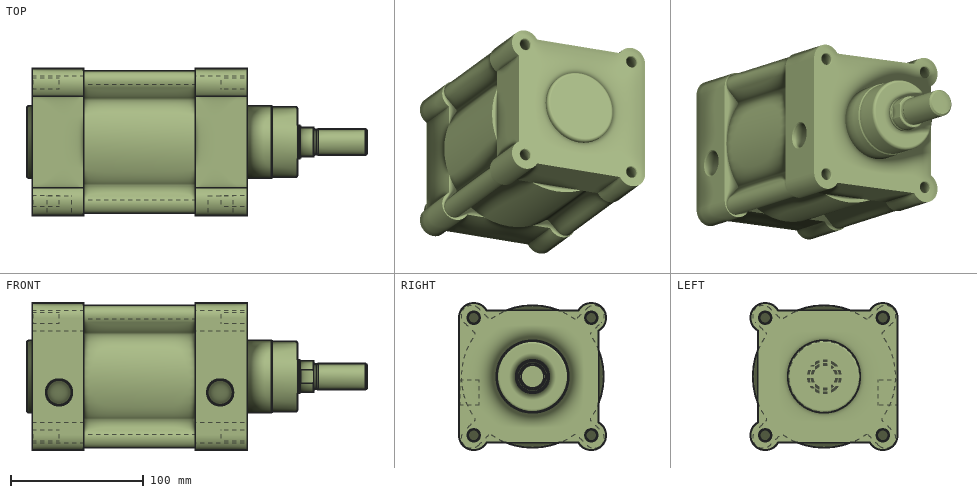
import math

import cadquery as cq


boss_length = 4.0
rear_cap_length = 39.0
barrel_length = 84.5
front_cap_length = 39.5
nose_length = 38.0
overall_length = 257.7

rear_cap_start = boss_length
barrel_start = rear_cap_start + rear_cap_length
front_cap_start = barrel_start + barrel_length
nose_start = front_cap_start + front_cap_length
rod_start = nose_start + nose_length

cap_size = 111.5
corner_spacing = 89.0
body_width = 100.0
boss_radius = 27.5
boss_fillet = 2.0
corner_offset = corner_spacing / 2
corner_radius = (cap_size - corner_spacing) / 2

screw_hole_diameter = 8.5
screw_hole_mouth = 9.6
screw_hole_depth = 20.0

port_diameter = 18.8
port_mouth = 20.2
port_depth = 15.0
port_drop = 12.0
rear_port_inset = 20.4
front_port_inset = 18.9

nose_tip_radius = 26.8
nose_taper_start = 18.0
nose_taper_length = 1.0
nose_fillet = 2.0

barrel_radius = 54.0
lobe_radius = 7.6
lobe_centre = 46.5
valley_fillet = 1.6

rod_radius = 12.75
rod_land_length = 1.9
rod_land_chamfer = 0.6
wrench_radius = 12.1
wrench_flats = 22.0
wrench_end = 217.4
wrench_chamfer = 0.5
groove_bottom = 219.0
groove_end = 220.5
groove_radius = 9.2
thread_radius = 10.0
thread_chamfer = 1.3


def cylinder_x(radius, start, length, y=0.0, z=0.0):
    """Cylinder along +X that begins at the given station."""
    return cq.Workplane("YZ", origin=(start, y, z)).circle(radius).extrude(length)


def chamfered_hole(diameter, mouth, depth, origin, direction):
    """Cutting tool for a flat-bottomed hole with a 45 degree chamfered mouth."""
    axis = cq.Vector(*direction)
    point = cq.Vector(*origin)
    chamfer = (mouth - diameter) / 2
    bore = cq.Solid.makeCylinder(diameter / 2, depth, point, axis)
    countersink = cq.Solid.makeCone(mouth / 2, diameter / 2, chamfer, point, axis)
    return cq.Workplane(bore.fuse(countersink))


def cap_block(start, length):
    """Cap body: square with round corner lobes, filled out to a flat face on the -Y side."""
    block = cq.Workplane("YZ", origin=(start, 0, 0)).rect(body_width, body_width).extrude(length)
    side_depth = cap_size / 2 - corner_offset
    side = (
        cq.Workplane("YZ", origin=(start, -corner_offset - side_depth / 2, 0))
        .rect(side_depth, corner_spacing)
        .extrude(length)
    )
    block = block.union(side)
    for y in (-corner_offset, corner_offset):
        for z in (-corner_offset, corner_offset):
            block = block.union(cylinder_x(corner_radius, start, length, y, z))
    return block


def cut_screw_holes(cap, face_x, inward):
    """Cut the four corner holes into the outer face of a cap."""
    for y in (-corner_offset, corner_offset):
        for z in (-corner_offset, corner_offset):
            mouth_centre = (face_x, y, z)
            hole = chamfered_hole(
                screw_hole_diameter, screw_hole_mouth, screw_hole_depth, mouth_centre, (inward, 0, 0)
            )
            cap = cap.cut(hole)
    return cap


def cut_port(cap, x):
    """Cut the air port into the flat -Y face of a cap."""
    mouth_centre = (x, -cap_size / 2, -port_drop)
    return cap.cut(chamfered_hole(port_diameter, port_mouth, port_depth, mouth_centre, (0, 1, 0)))


def make_rear_cap():
    cap = cap_block(rear_cap_start, rear_cap_length)
    boss = cylinder_x(boss_radius, 0, boss_length).faces("<X").edges().fillet(boss_fillet)
    cap = cap.union(boss)
    cap = cut_screw_holes(cap, rear_cap_start, 1)
    return cut_port(cap, rear_cap_start + rear_port_inset)


def make_front_cap():
    cap = cap_block(front_cap_start, front_cap_length)
    taper_start = nose_start + nose_taper_start
    nose = (
        cq.Workplane("XY")
        .moveTo(nose_start, 0)
        .lineTo(nose_start, boss_radius)
        .lineTo(taper_start, boss_radius)
        .lineTo(taper_start + nose_taper_length, nose_tip_radius)
        .lineTo(rod_start, nose_tip_radius)
        .lineTo(rod_start, 0)
        .close()
        .revolve(360, (0, 0, 0), (1, 0, 0))
        .faces(">X")
        .edges()
        .fillet(nose_fillet)
    )
    cap = cap.union(nose)
    cap = cut_screw_holes(cap, nose_start, -1)
    return cut_port(cap, front_cap_start + front_port_inset)


def valley_selector():
    """Selector for the eight axial edges where the web walls meet the round barrel."""
    along_diagonal = math.sqrt(barrel_radius**2 - lobe_radius**2)
    near = (along_diagonal - lobe_radius) / math.sqrt(2)
    far = (along_diagonal + lobe_radius) / math.sqrt(2)
    mid_x = barrel_start + barrel_length / 2
    margin = 0.1
    boxes = []
    for y, z in ((near, far), (far, near)):
        for y_sign in (-1, 1):
            for z_sign in (-1, 1):
                centre = cq.Vector(mid_x, y_sign * y, z_sign * z)
                reach = cq.Vector(margin, margin, margin)
                boxes.append(cq.selectors.BoxSelector((centre - reach).toTuple(), (centre + reach).toTuple()))
    selector = boxes[0]
    for box in boxes[1:]:
        selector = selector + box
    return selector


def make_barrel():
    """Round barrel with four corner lobes, each joined by a web with walls parallel to its diagonal."""
    barrel = cylinder_x(barrel_radius, barrel_start, barrel_length)
    diagonal_reach = lobe_centre * math.sqrt(2)
    for quadrant in range(4):
        angle = 45 + 90 * quadrant
        lobe = cylinder_x(lobe_radius, barrel_start, barrel_length, diagonal_reach)
        web = (
            cq.Workplane("YZ", origin=(barrel_start, diagonal_reach / 2, 0))
            .rect(diagonal_reach, 2 * lobe_radius)
            .extrude(barrel_length)
        )
        barrel = barrel.union(lobe.union(web).rotate((0, 0, 0), (1, 0, 0), angle))

    return barrel.edges(valley_selector()).fillet(valley_fillet)


def make_rod():
    land_end = rod_start + rod_land_length
    rod = (
        cq.Workplane("XY")
        .moveTo(rod_start, 0)
        .lineTo(rod_start, rod_radius)
        .lineTo(land_end - rod_land_chamfer, rod_radius)
        .lineTo(land_end, wrench_radius)
        .lineTo(wrench_end - wrench_chamfer, wrench_radius)
        .lineTo(wrench_end, wrench_radius - wrench_chamfer)
        .lineTo(wrench_end, thread_radius)
        .lineTo(groove_bottom, groove_radius)
        .lineTo(groove_end, thread_radius)
        .lineTo(overall_length - thread_chamfer, thread_radius)
        .lineTo(overall_length, thread_radius - thread_chamfer)
        .lineTo(overall_length, 0)
        .close()
        .revolve(360, (0, 0, 0), (1, 0, 0))
    )
    flats_start = land_end + rod_land_chamfer
    flats_length = wrench_end - flats_start
    for side in (-1, 1):
        trim = cq.Workplane("XY").box(flats_length, rod_radius, 2 * rod_radius, centered=(False, True, True))
        rod = rod.cut(trim.translate((flats_start, side * (wrench_flats + rod_radius) / 2, 0)))
    return rod


rear_cap = make_rear_cap()
barrel = make_barrel()
front_cap = make_front_cap()
rod = make_rod()

result = cq.Compound.makeCompound([rear_cap.val(), barrel.val(), front_cap.val(), rod.val()])